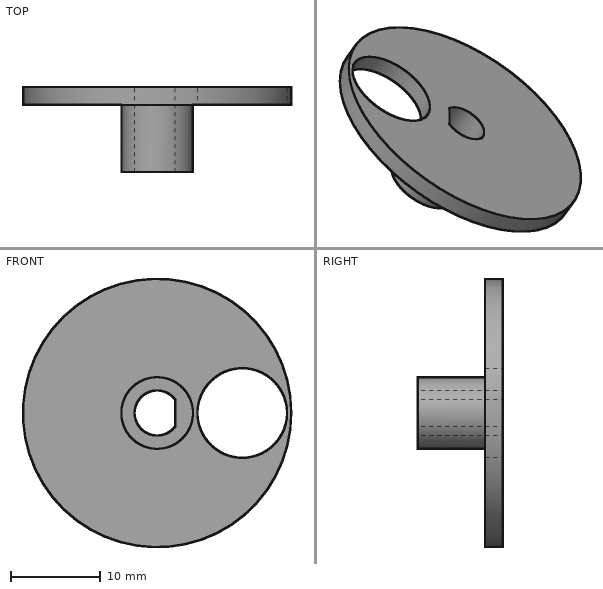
import cadquery as cq

disc_diameter = 30.0
total_depth = 9.5
hub_length = 7.5
hub_diameter = 8.0
bore_diameter = 5.0
bore_flat_offset = 2.0
window_diameter = 10.0
window_offset = 9.5

disc_thickness = total_depth - hub_length


def cylinder_along_y(diameter, length, start_y=0.0, center_x=0.0):
    """Cylinder that runs from start_y towards -Y."""
    return (
        cq.Workplane("XZ", origin=(center_x, start_y, 0))
        .circle(diameter / 2)
        .extrude(length)
    )


def d_shaped_bore():
    """Through bore with a flat on its +X side."""
    bore = cylinder_along_y(bore_diameter, total_depth)
    beyond_flat = cq.Workplane("XY").box(
        bore_diameter, total_depth, bore_diameter, centered=(False, False, True)
    ).translate((bore_flat_offset, -total_depth, 0))
    return bore.cut(beyond_flat)


disc = cylinder_along_y(disc_diameter, disc_thickness)
hub = cylinder_along_y(hub_diameter, hub_length, start_y=-disc_thickness)
window = cylinder_along_y(window_diameter, disc_thickness, center_x=window_offset)

result = disc.union(hub).cut(window).cut(d_shaped_bore())